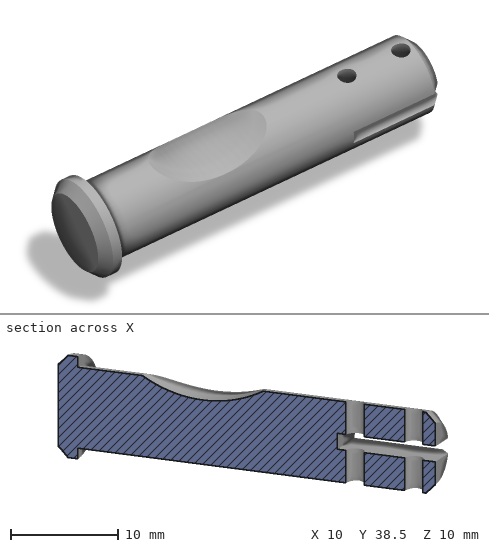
import cadquery as cq

length = 38.5
head_diameter = 10.0
head_thickness = 2.0
head_chamfer = 1.0
shank_diameter = 7.95
tip_chamfer = 1.0

slot_width = 1.5
slot_depth = 10.0

hole_diameter = 1.8
hole_end_distances = (2.25, 8.25)

scoop_center_y = 14.75
scoop_chord = 12.32
scoop_depth = 1.6


def cylinder_along_y(diameter, start, end):
    return (
        cq.Workplane("XZ", origin=(0, start, 0))
        .circle(diameter / 2)
        .extrude(start - end)
    )


def make_pin():
    head = cylinder_along_y(head_diameter, 0, head_thickness).faces("<Y").chamfer(head_chamfer)
    shank = cylinder_along_y(shank_diameter, head_thickness, length).faces(">Y").chamfer(tip_chamfer)
    return head.union(shank)


def make_slot():
    return cq.Workplane("XY").box(head_diameter, slot_depth, slot_width).translate(
        (0, length - slot_depth / 2, 0)
    )


def make_cross_holes():
    centers = [(0, length - distance) for distance in hole_end_distances]
    return (
        cq.Workplane("XY")
        .pushPoints(centers)
        .circle(hole_diameter / 2)
        .extrude(shank_diameter, both=True)
    )


def make_scoop():
    radius = ((scoop_chord / 2) ** 2 + scoop_depth**2) / (2 * scoop_depth)
    center_z = shank_diameter / 2 - scoop_depth + radius
    return (
        cq.Workplane("YZ")
        .center(scoop_center_y, center_z)
        .circle(radius)
        .extrude(shank_diameter, both=True)
    )


result = make_pin().cut(make_slot()).cut(make_cross_holes()).cut(make_scoop())